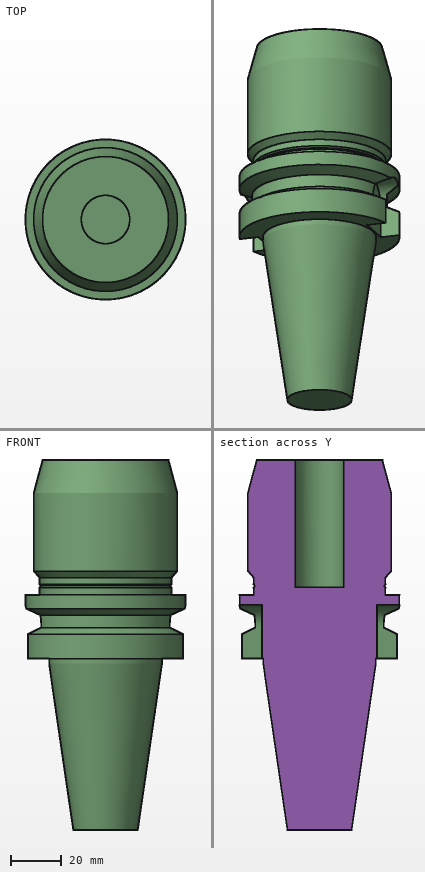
import cadquery as cq


taper_length = 65.4
gauge_diameter = 44.45
taper_ratio = 7 / 24
tip_diameter = gauge_diameter - taper_ratio * taper_length

flange_diameter = 63.0
flange_bottom = 2.0
flange_top = 27.0
v_groove_center = 16.6
v_groove_diameter = 53.1
v_groove_mouth = 10.0
v_groove_floor = 4.9

slot_width = 16.1
slot_floor_offset = 22.6
slot_height = 21.0

neck_diameter = 52.0
neck_top = 33.8
ring_groove_center = 30.5
ring_groove_width = 1.4
ring_groove_depth = 0.5

body_diameter = 56.5
neck_cone_height = 2.55
body_bottom = neck_top + neck_cone_height
nose_length = 13.0
nose_diameter = 49.5
body_top = 80.0

bore_diameter = 19.0
bore_depth = 50.0


def make_turned_body():
    """Revolve the half profile of shank, flange, neck and chuck body."""
    tip_radius = tip_diameter / 2
    gauge_radius = gauge_diameter / 2
    flange_radius = flange_diameter / 2
    v_radius = v_groove_diameter / 2
    neck_radius = neck_diameter / 2
    ring_radius = neck_radius - ring_groove_depth
    body_radius = body_diameter / 2

    profile = [
        (0, -taper_length),
        (tip_radius, -taper_length),
        (gauge_radius, 0),
        (gauge_radius, flange_bottom),
        (flange_radius, flange_bottom),
        (flange_radius, v_groove_center - v_groove_mouth / 2),
        (v_radius, v_groove_center - v_groove_floor / 2),
        (v_radius, v_groove_center + v_groove_floor / 2),
        (flange_radius, v_groove_center + v_groove_mouth / 2),
        (flange_radius, flange_top),
        (neck_radius, flange_top),
        (neck_radius, ring_groove_center - ring_groove_width / 2),
        (ring_radius, ring_groove_center),
        (neck_radius, ring_groove_center + ring_groove_width / 2),
        (neck_radius, neck_top),
        (body_radius, body_bottom),
        (body_radius, body_top - nose_length),
        (nose_diameter / 2, body_top),
        (0, body_top),
    ]
    return cq.Workplane("XZ").polyline(profile).close().revolve(360, (0, 0), (0, 1))


def make_drive_slot(side):
    """Round-topped cutter for the slot on the +X (side = 1) or -X (side = -1) flank."""
    half_width = slot_width / 2
    slot_top = flange_bottom + slot_height
    arc_start = slot_top - half_width
    return (
        cq.Workplane("YZ", origin=(side * slot_floor_offset, 0, 0))
        .moveTo(-half_width, flange_bottom)
        .lineTo(-half_width, arc_start)
        .threePointArc((0, slot_top), (half_width, arc_start))
        .lineTo(half_width, flange_bottom)
        .close()
        .extrude(side * flange_diameter / 2)
    )


def make_bore():
    """Cylinder that opens the blind bore from the nose face."""
    return (
        cq.Workplane("XY", origin=(0, 0, body_top - bore_depth))
        .circle(bore_diameter / 2)
        .extrude(bore_depth)
    )


result = make_turned_body().cut(make_bore())
for side in (-1, 1):
    result = result.cut(make_drive_slot(side))